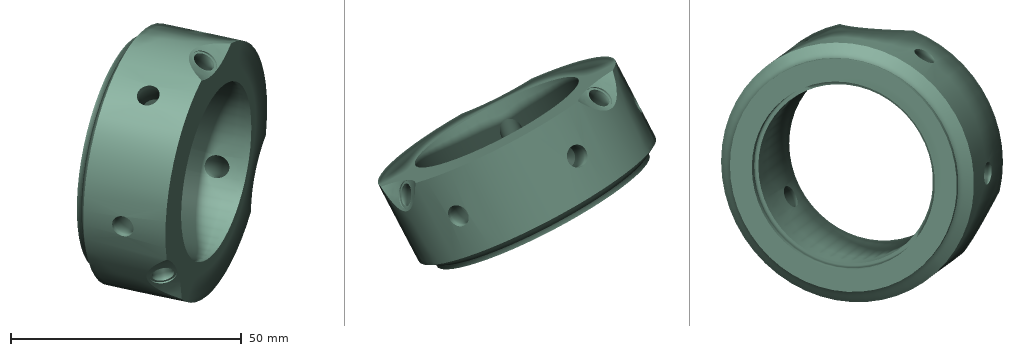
import cadquery as cq
import math

width = 22.0
outer_radius = 58 / 2
lip_radius = 52.0 / 2
lip_width = 1.05
bevel_angle = 30
bevel_width = (outer_radius - lip_radius) * math.tan(math.radians(bevel_angle))
bore_radius = 40 / 2
recess_radius = 42.0 / 2
recess_depth = 1.5

spanner_count = 6
spanner_x = 12.0
spanner_radius = 5.0 / 2
spanner_depth = 6.1
drill_tip_height = spanner_radius / math.tan(math.radians(118 / 2))

screw_count = 3
screw_tilt = math.radians(30)
screw_mouth_x = 19.2
screw_mouth_height = 27.2
screw_hole_radius = 4.95 / 2
seat_radius = 6.1 / 2
seat_depth = 0.1
seat_cut_height = 2.9
trough_radius = 40 / 2
trough_length = 34.8
screw_hole_length = 10.45


def turned_cutter(half_profile, position, direction):
    """Turn an outline of (radius, height) points and stand it on the given axis."""
    sideways = cq.Vector(direction).cross(cq.Vector(1, 0, 0))
    plane = cq.Plane(origin=position, xDir=sideways, normal=direction)
    cutter = cq.Workplane("XZ").polyline(half_profile).close().revolve(360, (0, 0), (0, 1))
    return cq.Workplane(obj=cutter.val().moved(cq.Location(plane)))


def ring_body():
    profile = [
        (0, recess_radius),
        (0, lip_radius),
        (lip_width, lip_radius),
        (lip_width + bevel_width, outer_radius),
        (width, outer_radius),
        (width, bore_radius),
        (recess_depth, bore_radius),
        (recess_depth, recess_radius),
    ]
    return cq.Workplane("XY").polyline(profile).close().revolve(360, (0, 0), (1, 0))


def spanner_cutter():
    """Drill shape at the +Y side of the rim, with a conical tip."""
    profile = [
        (0, -spanner_depth - drill_tip_height),
        (spanner_radius, -spanner_depth),
        (spanner_radius, spanner_depth),
        (0, spanner_depth),
    ]
    return turned_cutter(profile, (spanner_x, outer_radius, 0), (0, 1, 0))


def screw_cutter():
    """Screw hole with a flat seat at the top of the rim, joined to its round trough."""
    mouth = cq.Vector(screw_mouth_x, 0, screw_mouth_height)
    axis = cq.Vector(math.sin(screw_tilt), 0, math.cos(screw_tilt))
    downhill = cq.Vector(math.cos(screw_tilt), 0, -math.sin(screw_tilt))
    profile = [
        (0, -screw_hole_length),
        (screw_hole_radius, -screw_hole_length),
        (screw_hole_radius, -seat_depth),
        (seat_radius, -seat_depth),
        (seat_radius, seat_cut_height),
        (0, seat_cut_height),
    ]
    trough_start = mouth + axis * trough_radius - downhill * (trough_length / 2)
    trough = cq.Solid.makeCylinder(trough_radius, trough_length, trough_start, downhill)
    return turned_cutter(profile, mouth, axis).union(cq.Workplane(obj=trough))


def cut_around(body, cutter, count):
    """Cut copies of the cutter, evenly spaced around the ring axis."""
    for index in range(count):
        body = body.cut(cutter.rotate((0, 0, 0), (1, 0, 0), index * 360 / count))
    return body


result = ring_body()
result = cut_around(result, spanner_cutter(), spanner_count)
result = cut_around(result, screw_cutter(), screw_count)